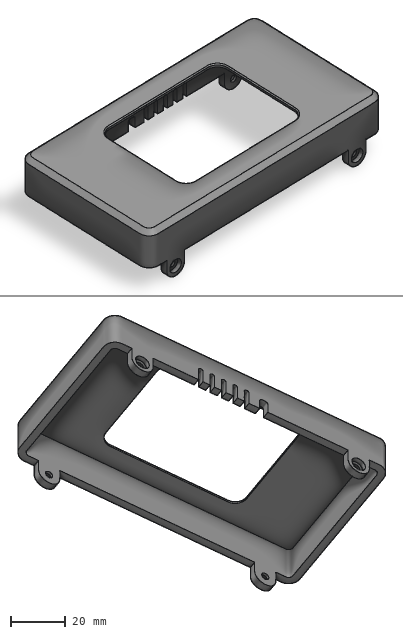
import cadquery as cq

length = 121.8
width = 68.0
total_height = 26.7
body_height = 17.0
corner_radius = 5.0
top_chamfer = 2.1
wall = 3.0
plate_thickness = 1.5

window_width = 45.3
window_length = 61.1
window_radius = 5.0
window_chamfer = 0.5

lug_spacing = 94.0
lug_radius = 4.6
lug_drop = total_height - body_height - lug_radius
screw_hole_diameter = 3.0
counterbore_diameter = 5.8
counterbore_depth = 2.0

vent_count = 5
vent_pitch = 5.0
vent_width = 2.0
vent_height = 6.7
first_vent_y = 1.7

cable_notch_y = -5.7
cable_notch_width = 3.5
cable_notch_height = 5.5
cable_notch_radius = 1.2


def rounded_block(size_x, size_y, height, radius):
    """Upright block on Z = 0 with rounded vertical edges."""
    return cq.Workplane("XY").rect(size_x, size_y).extrude(height).edges("|Z").fillet(radius)


def make_cover():
    """Hollow body with the window cut through its top plate."""
    outside = rounded_block(width, length, body_height, corner_radius).faces(">Z").chamfer(top_chamfer)
    cavity = rounded_block(
        width - 2 * wall,
        length - 2 * wall,
        body_height - plate_thickness,
        corner_radius - wall,
    )
    window = rounded_block(window_width, window_length, body_height, window_radius)
    cover = outside.cut(cavity).cut(window)
    window_rim = cover.faces(">Z").val().innerWires()[0]
    return cover.newObject(window_rim.Edges()).chamfer(window_chamfer)


def outer_face(side, y):
    """Workplane on a long outer wall face, with its normal inward and its local Y along Z.

    side is -1 for the -X wall and +1 for the +X wall.
    """
    plane = cq.Plane(origin=(side * width / 2, y, 0), xDir=(0, -side, 0), normal=(-side, 0, 0))
    return cq.Workplane(plane)


def make_lug(side, y):
    """Round-ended lug flush with the outer wall face, without its screw hole."""
    return (
        outer_face(side, y)
        .moveTo(-lug_radius, 0)
        .lineTo(-lug_radius, -lug_drop)
        .threePointArc((0, -lug_drop - lug_radius), (lug_radius, -lug_drop))
        .lineTo(lug_radius, 0)
        .close()
        .extrude(wall)
    )


def make_screw_hole(side, y):
    """Cutter for a through hole with a counterbore opening on the outer face."""
    centre = outer_face(side, y).center(0, -lug_drop)
    hole = centre.circle(screw_hole_diameter / 2).extrude(wall)
    counterbore = centre.circle(counterbore_diameter / 2).extrude(counterbore_depth)
    return hole.union(counterbore)


def make_notch(y, notch_width, notch_height, radius):
    """Cutter through the -X wall, open at the rim and rounded at its top corners."""
    half_width = notch_width / 2
    half_flat = half_width - radius
    shoulder = notch_height - radius
    outline = (
        outer_face(-1, y)
        .moveTo(-half_width, 0)
        .lineTo(-half_width, shoulder)
        .radiusArc((-half_flat, notch_height), radius)
    )
    if half_flat > 0:
        outline = outline.lineTo(half_flat, notch_height)
    outline = outline.radiusArc((half_width, shoulder), radius)
    return outline.lineTo(half_width, 0).close().extrude(wall)


result = make_cover()

for side in (-1, 1):
    for lug_y in (-lug_spacing / 2, lug_spacing / 2):
        result = result.union(make_lug(side, lug_y)).cut(make_screw_hole(side, lug_y))

for index in range(vent_count):
    vent_y = first_vent_y + index * vent_pitch
    result = result.cut(make_notch(vent_y, vent_width, vent_height, vent_width / 2))

result = result.cut(
    make_notch(cable_notch_y, cable_notch_width, cable_notch_height, cable_notch_radius)
)